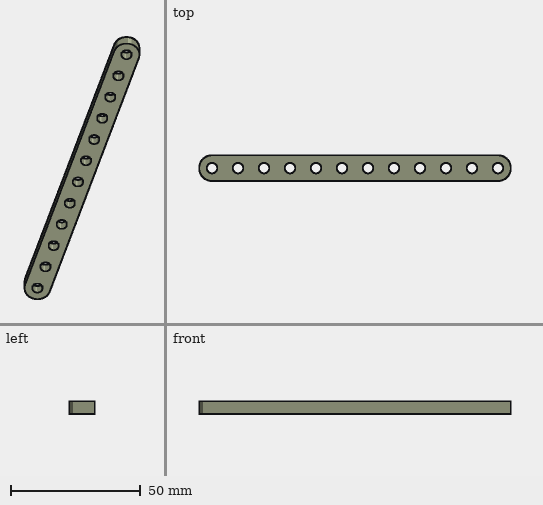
import cadquery as cq

length = 120.0
hole_count = 12
hole_diameter = 4.0

pitch = length / hole_count
width = pitch
thickness = width / 2

bar = cq.Workplane("XY").slot2D(length, width).extrude(thickness)

result = (
    bar.faces(">Z")
    .workplane()
    .rarray(pitch, width, hole_count, 1)
    .hole(hole_diameter)
)